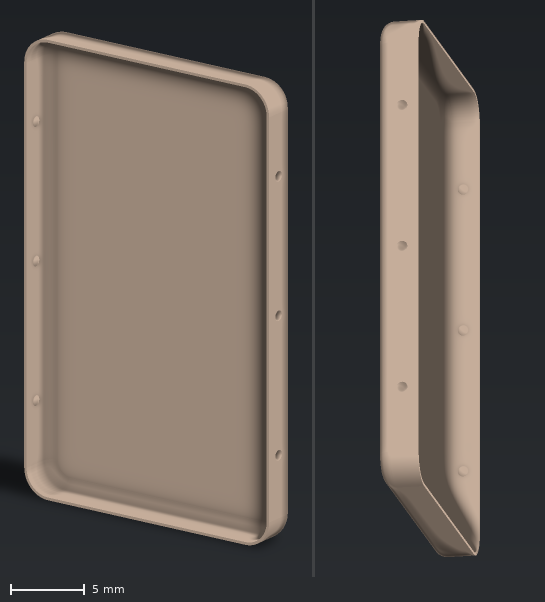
import cadquery as cq

width = 20.4
depth = 2.8
height = 33.0

wall = 0.2
corner_radius = 1.98
back_edge_radius = 0.9
inner_edge_radius = back_edge_radius - wall

dimple_radius = 0.38
dimple_depth = 0.2
dimple_skin = 0.13
dimple_pitch = 10.0
dimple_from_rim = 1.12
dimple_rows = (-1, 0, 1)

sphere_radius = (dimple_radius**2 + dimple_depth**2) / (2 * dimple_depth)
sphere_center_x = width / 2 - dimple_depth + sphere_radius

y_rim = -depth / 2
y_back = depth / 2


def rounded_block(x_size, z_size, back, corner, edge):
    """Rounded rectangular block from the rim plane to `back`, with a filleted back edge."""
    block = cq.Workplane("XY").box(x_size, back - y_rim, z_size)
    block = block.translate((0, (y_rim + back) / 2, 0))
    return block.edges("|Y").fillet(corner).faces(">Y").edges().fillet(edge)


def ball(radius, side, row):
    """Sphere at one dimple position, made by revolving a half disc about the X direction."""
    half_disc = cq.Workplane("XY").moveTo(-radius, 0).threePointArc((0, radius), (radius, 0)).close()
    sphere = half_disc.revolve(360, (0, 0, 0), (1, 0, 0))
    return sphere.translate((side * sphere_center_x, y_rim + dimple_from_rim, row * dimple_pitch))


outer = rounded_block(width, height, y_back, corner_radius, back_edge_radius)
cavity = rounded_block(
    width - 2 * wall,
    height - 2 * wall,
    y_back - wall,
    corner_radius - wall,
    inner_edge_radius,
)

dimples = [(side, row) for side in (-1, 1) for row in dimple_rows]
for side, row in dimples:
    cavity = cavity.cut(ball(sphere_radius + dimple_skin, side, row))

result = outer.cut(cavity)
for side, row in dimples:
    result = result.cut(ball(sphere_radius, side, row))